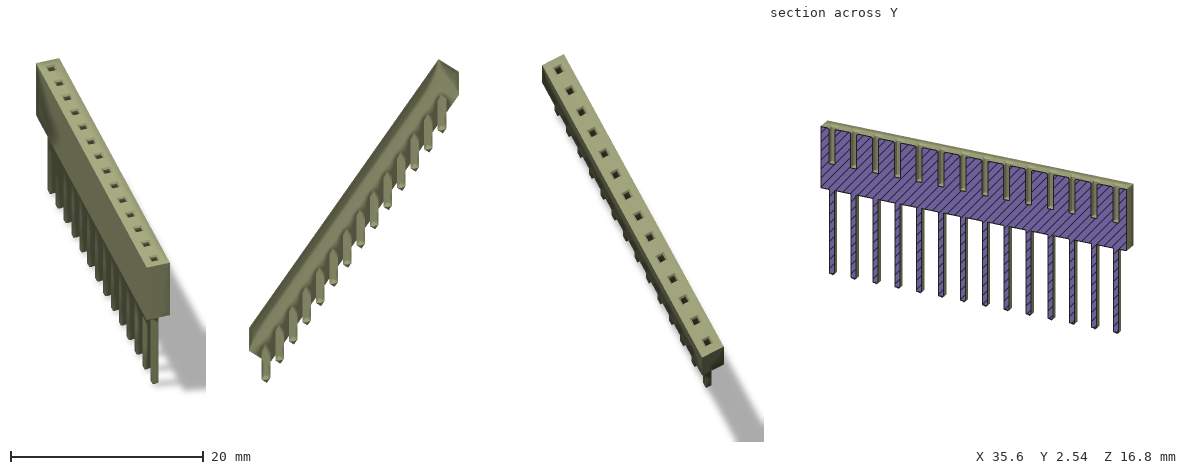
import cadquery as cq

pin_count = 14
pitch = 2.54
body_height = 7.0

pin_width = 0.64
pin_length = 9.82
tip_width = 0.01
tip_length = pin_width / 2

socket_width = pin_width
socket_depth = 4.0
lead_in_depth = 0.17
mouth_width = socket_width + 2 * lead_in_depth


def square_prism(width, bottom, height):
    """Upright square prism centred on the Z axis."""
    return cq.Workplane("XY").workplane(offset=bottom).rect(width, width).extrude(height)


def square_taper(top_width, top, bottom_width, depth):
    """Square frustum running down from the height `top`."""
    return (
        cq.Workplane("XY")
        .workplane(offset=top)
        .rect(top_width, top_width)
        .workplane(offset=-depth)
        .rect(bottom_width, bottom_width)
        .loft(ruled=True)
    )


def make_socket():
    """Volume removed from the top of a cell."""
    bore = square_prism(socket_width, body_height - socket_depth, socket_depth)
    lead_in = square_taper(mouth_width, body_height, socket_width, lead_in_depth)
    return bore.union(lead_in)


def make_pin():
    """Pin hanging below the underside of a cell, which lies at Z = 0."""
    shank_length = pin_length - tip_length
    shank = square_prism(pin_width, -shank_length, shank_length)
    tip = square_taper(pin_width, -shank_length, tip_width, tip_length)
    return shank.union(tip)


def make_cell():
    housing = square_prism(pitch, 0, body_height)
    return housing.cut(make_socket()).union(make_pin())


cell = make_cell()
first_x = -pitch * (pin_count - 1) / 2
result = cell.translate((first_x, 0, 0))
for index in range(1, pin_count):
    result = result.union(cell.translate((first_x + index * pitch, 0, 0)), clean=False)